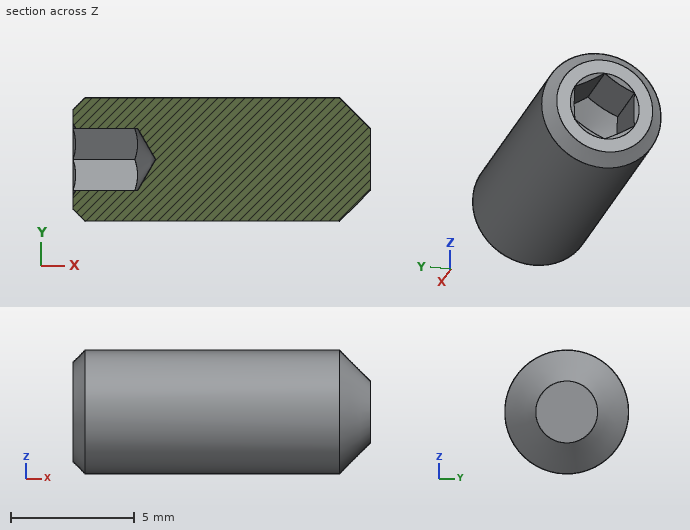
import cadquery as cq
import math

length = 12
diameter = 5.0
socket_end_diameter = 4.02
tip_diameter = 2.5

hex_across_flats = 2.5
hex_depth = 2.5
entry_cone_half_angle = 60
drill_cone_half_angle = 60

radius = diameter / 2
socket_end_radius = socket_end_diameter / 2
tip_radius = tip_diameter / 2
hex_flat_radius = hex_across_flats / 2
hex_corner_radius = hex_flat_radius / math.cos(math.radians(30))

socket_end_chamfer = radius - socket_end_radius
tip_chamfer = radius - tip_radius


def revolve_about_x(points):
    """Turn an (x, radius) outline around the screw axis."""
    return cq.Workplane("XY").polyline(points).close().revolve(360, (0, 0, 0), (1, 0, 0))


def cone(start_x, base_radius, half_angle):
    """Cone with its base at start_x and its apex towards +X."""
    height = base_radius / math.tan(math.radians(half_angle))
    return revolve_about_x([(start_x, 0), (start_x, base_radius), (start_x + height, 0)])


def screw_body():
    return revolve_about_x([
        (0, 0),
        (0, socket_end_radius),
        (socket_end_chamfer, radius),
        (length - tip_chamfer, radius),
        (length, tip_radius),
        (length, 0),
    ])


def hex_socket():
    """Hexagon with corners at +Z and -Z, a countersunk mouth and a conical floor."""
    corner_angles = [math.radians(90 + 60 * i) for i in range(6)]
    corners = [
        (hex_corner_radius * math.cos(a), hex_corner_radius * math.sin(a))
        for a in corner_angles
    ]
    pointed_bore = cone(hex_depth, hex_corner_radius, drill_cone_half_angle).union(
        cq.Workplane("YZ").circle(hex_corner_radius).extrude(hex_depth)
    )
    hexagon = cq.Workplane("YZ").polyline(corners).close().extrude(length)
    mouth = cone(0, hex_corner_radius, entry_cone_half_angle)
    return hexagon.intersect(pointed_bore).union(mouth)


result = screw_body().cut(hex_socket())